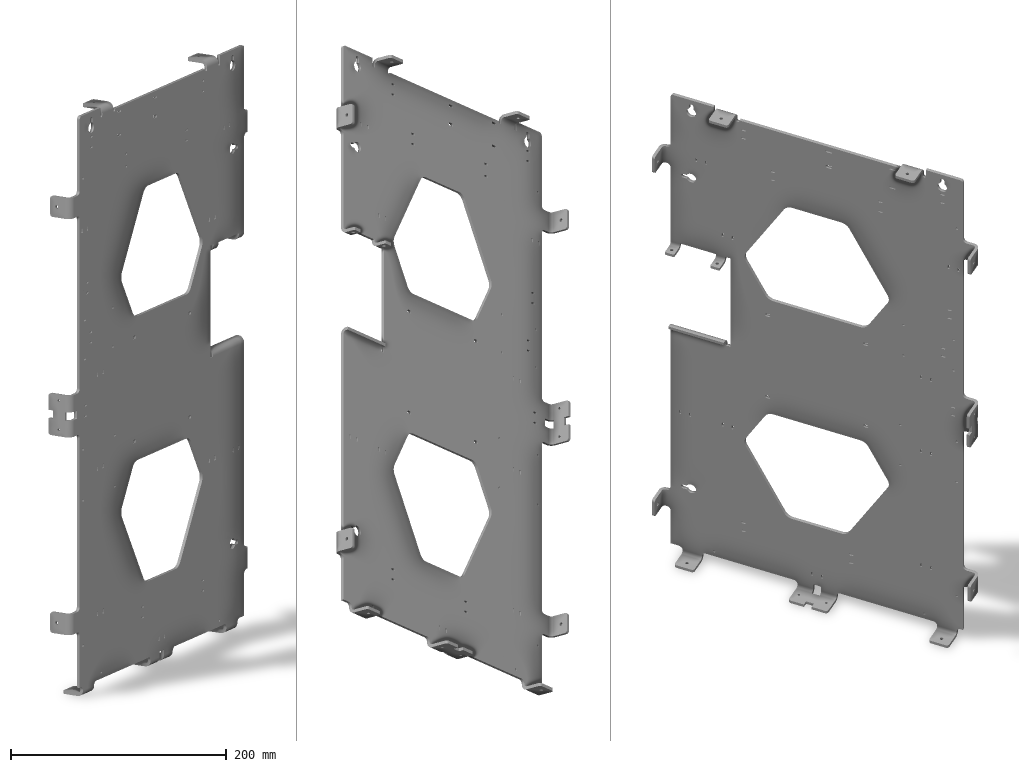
import cadquery as cq
import math


THICKNESS = 3.0
INNER_BEND = 3.0
OUTER_BEND = INNER_BEND + THICKNESS
WIDE_TAB_DEPTH = 23.79
TAB_DEPTH = 22.0

SIDE_EDGE = 149.0
TOP_EDGE = 285.0
TOP_STEP_EDGE = 278.0
BOTTOM_EDGE = -264.0
TOP_CORNER_RADIUS = 3.0

TOTAL_WIDTH = 325.0
TOTAL_HEIGHT = 559.0
LEFT_REACH = 159.5
RIGHT_REACH = TOTAL_WIDTH - LEFT_REACH
TOP_REACH = TOP_EDGE
BOTTOM_REACH = TOTAL_HEIGHT - TOP_REACH

TAB_WIDTH = 20.0
TAB_HOLE = 3.24
TAB_HOLE_FROM_TIP = 7.0
TAB_CORNER_RADIUS = 2.5
TAB_ROOT_RADIUS = 4.0
LEFT_TAB_Z = 209.85
RIGHT_TAB_Z = 200.0
TOP_TAB_OFFSET = 95.0
BOTTOM_TAB_OFFSET = 129.8
TAB_CENTER_Y = (LEFT_REACH - RIGHT_REACH) / 2
TOP_TAB_YS = (TAB_CENTER_Y + TOP_TAB_OFFSET, TAB_CENTER_Y - TOP_TAB_OFFSET)
BOTTOM_TAB_YS = (TAB_CENTER_Y + BOTTOM_TAB_OFFSET, TAB_CENTER_Y - BOTTOM_TAB_OFFSET)

WIDE_TAB_WIDTH = 40.0
WIDE_TAB_HOLE = 2.5
WIDE_TAB_HOLE_FROM_TIP = 10.8
WIDE_TAB_HOLE_SPACING = 28.0
TIP_NOTCH_WIDTH = 8.0
TIP_NOTCH_DEPTH = 5.0
BEND_HOLE_WIDTH = 8.0
BEND_HOLE_HEIGHT = 11.5
BEND_HOLE_CORNER_RADIUS = 1.0
BOTTOM_WIDE_TAB_Y = -0.4
RIGHT_WIDE_TAB_Z = 0.0

RELIEF_WIDTH = 3.24
RELIEF_BOTTOM = 275.5

CUTOUT_INNER = 88.0
CUTOUT_TOP = 106.0
CUTOUT_BOTTOM = -2.0
LIP_INNER = 92.5
LIP_REACH = 5.0
LIP_DEPTH = 8.0
CLIP_WIDTH = 9.5
CLIP_REACH = 99.1
CLIP_DEPTH = 16.0
CLIP_YS = (SIDE_EDGE - CLIP_WIDTH / 2, 98.0)
CLIP_HOLE_FROM_TIP = 5.5
CLIP_HOLE = 3.24
CLIP_CORNER_RADIUS = 1.0

HEX_Z = 113.0
HEX_HALF_WIDTH = 75.1
HEX_OUTER_RISE = 77.2
HEX_INNER_RISE = 43.8
HEX_CORNER_RADIUS = 10.0

KEYHOLE_DIAMETER = 10.0
KEYHOLE_NECK = 4.5
KEYHOLE_SHIFT = 8.0
KEYHOLE_Y = 128.0
TOP_KEYHOLE_Z = 269.7
SIDE_KEYHOLE_Z = 190.0

TIE_SLOT_LENGTH = 4.5
TIE_SLOT_WIDTH = 2.0
TIE = 10.0
WIDE_TIE = 12.0
STACKED_TIE_PAIRS = (
    (74.5, 262.6, TIE),
    (44.6, 222.3, TIE),
    (-65.0, 223.7, WIDE_TIE),
    (-128.2, 256.0, TIE),
    (-135.5, 117.5, TIE),
    (-129.0, 68.5, TIE),
    (-139.0, 0.0, TIE),
    (74.5, -217.5, TIE),
    (-35.2, -217.5, TIE),
)
SIDE_BY_SIDE_TIE_PAIRS = (
    (117.8, 214.0, TIE),
    (90.9, 131.6, TIE),
    (-139.5, 174.6, TIE),
    (-111.5, 30.0, TIE),
    (-111.5, -60.5, TIE),
    (134.2, -100.0, TIE),
    (90.9, -100.0, TIE),
    (-111.5, -200.0, TIE),
    (-0.3, -250.0, TIE),
)

SQUARE_SPACING = 100.0
SQUARE_SLOT_LENGTH = 5.5
SQUARE_SLOT_WIDTH = 3.24

LONG_SLOT_LENGTH = 6.5
NARROW_LONG_SLOT = 2.0
BROAD_LONG_SLOT = 3.24
LONG_SLOTS = (
    (-77.3, 273.7, NARROW_LONG_SLOT),
    (-77.3, 250.9, NARROW_LONG_SLOT),
    (-12.4, 271.9, NARROW_LONG_SLOT),
    (-12.4, 253.5, BROAD_LONG_SLOT),
)

SMALL_HOLE = 2.5
SMALL_HOLES = (
    (-143.0, 224.6),
    (-143.0, -224.6),
    (104.5, -258.0),
    (-109.8, -258.0),
    (-88.7, 87.5),
    (-139.7, 87.5),
    (-88.7, 50.0),
    (-139.7, 50.0),
    (-85.3, -36.0),
    (-143.0, -36.0),
    (-85.3, -85.0),
    (-143.0, -85.0),
)

TOP = 0
LEFT = -90
BOTTOM = 180
RIGHT = 90


def plate_block(y_min, y_max, z_min, z_max):
    """Flat rectangle of sheet."""
    block = cq.Workplane("XY").box(THICKNESS, y_max - y_min, z_max - z_min, centered=False)
    return block.translate((-THICKNESS, y_min, z_min))


def cutter(sketch):
    """Punch through the sheet from a closed YZ sketch."""
    return sketch.extrude(THICKNESS, both=True)


def yz_plane(y, z):
    return cq.Workplane("YZ").center(y, z)


def to_edge(shape, edge):
    """Turn a shape made for the +Z edge onto another edge."""
    return shape.rotate((0, 0, 0), (1, 0, 0), edge)


def along_edge(y, z, edge):
    """Position along an edge, in the frame of a flange made for the +Z edge."""
    return {TOP: y, BOTTOM: -y, LEFT: -z, RIGHT: z}[edge]


def bent_flange(center, width, root, reach, depth):
    """L-shaped strip: from inside the plate past the root, round the bend and out to -X."""
    start = root - THICKNESS
    inner_face = reach - THICKNESS
    bend_start = reach - OUTER_BEND
    diagonal = math.sqrt(0.5)
    outer_mid = (-OUTER_BEND + OUTER_BEND * diagonal, bend_start + OUTER_BEND * diagonal)
    inner_mid = (-OUTER_BEND + INNER_BEND * diagonal, bend_start + INNER_BEND * diagonal)
    section = (
        cq.Workplane("XZ", origin=(0, center + width / 2, 0))
        .moveTo(0, start)
        .lineTo(0, bend_start)
        .threePointArc(outer_mid, (-OUTER_BEND, reach))
        .lineTo(-depth, reach)
        .lineTo(-depth, inner_face)
        .lineTo(-OUTER_BEND, inner_face)
        .threePointArc(inner_mid, (-THICKNESS, bend_start))
        .lineTo(-THICKNESS, start)
        .close()
    )
    return section.extrude(width)


def round_tip(flange, radius):
    return flange.faces("<X").edges("|Z").fillet(radius)


def drill_flange(flange, x, y, reach, diameter):
    drill = cq.Workplane("XY", origin=(x, y, reach - 2 * THICKNESS)).circle(diameter / 2)
    return flange.cut(drill.extrude(3 * THICKNESS))


def root_fillet(y, z, direction):
    """Fill the corner between a plate edge at height z and a tab side at y."""
    r = TAB_ROOT_RADIUS
    far = y + direction * r
    block = plate_block(min(y, far), max(y, far), z, z + r)
    return block.cut(cutter(yz_plane(far, z + r).circle(r)))


def tab_roots(center, width, root):
    half = width / 2
    return root_fillet(center - half, root, -1).union(root_fillet(center + half, root, 1))


def mounting_tab(center, root, reach):
    tab = bent_flange(center, TAB_WIDTH, root, reach, TAB_DEPTH)
    tab = round_tip(tab, TAB_CORNER_RADIUS)
    return drill_flange(tab, TAB_HOLE_FROM_TIP - TAB_DEPTH, center, reach, TAB_HOLE)


def wide_tab(center, root, reach):
    tab = bent_flange(center, WIDE_TAB_WIDTH, root, reach, WIDE_TAB_DEPTH)
    tab = round_tip(tab, TAB_CORNER_RADIUS)
    notch = cq.Workplane("XY").box(2 * TIP_NOTCH_DEPTH, TIP_NOTCH_WIDTH, 3 * THICKNESS)
    tab = tab.cut(notch.translate((-WIDE_TAB_DEPTH, center, reach)))
    for side in (-1, 1):
        y = center + side * WIDE_TAB_HOLE_SPACING / 2
        tab = drill_flange(tab, WIDE_TAB_HOLE_FROM_TIP - WIDE_TAB_DEPTH, y, reach, WIDE_TAB_HOLE)
    return tab


def bend_hole(center, reach):
    """Clearance hole through the sheet and the whole bend, up to the flat of the tab."""
    hole = cq.Workplane("XY").box(
        OUTER_BEND, BEND_HOLE_WIDTH, BEND_HOLE_HEIGHT, centered=(False, True, False)
    )
    hole = hole.edges("|X and <Z").fillet(BEND_HOLE_CORNER_RADIUS)
    return hole.translate((-OUTER_BEND, center, reach - BEND_HOLE_HEIGHT))


def flat_plate():
    plate = plate_block(-SIDE_EDGE, SIDE_EDGE, BOTTOM_EDGE, TOP_EDGE)
    plate = plate.edges("|X and >Z").fillet(TOP_CORNER_RADIUS)
    plate = plate.cut(plate_block(CUTOUT_INNER, SIDE_EDGE, CUTOUT_BOTTOM, CUTOUT_TOP))
    half = TAB_WIDTH / 2
    step_left = TOP_TAB_YS[0] + half + RELIEF_WIDTH
    step_right = TOP_TAB_YS[1] - half - RELIEF_WIDTH
    plate = plate.cut(plate_block(step_right, step_left, TOP_STEP_EDGE, TOP_EDGE))
    radius = RELIEF_WIDTH / 2
    for tab_y in TOP_TAB_YS:
        for side in (-1, 1):
            y = tab_y + side * (half + radius)
            plate = plate.cut(plate_block(y - radius, y + radius, RELIEF_BOTTOM + radius, TOP_EDGE))
            plate = plate.cut(cutter(yz_plane(y, RELIEF_BOTTOM + radius).circle(radius)))
    return plate


def add_tabs(plate):
    for y in TOP_TAB_YS:
        plate = plate.union(mounting_tab(y, RELIEF_BOTTOM, TOP_REACH))
    places = [(y, BOTTOM_EDGE, BOTTOM, -BOTTOM_EDGE, BOTTOM_REACH) for y in BOTTOM_TAB_YS]
    for side in (-1, 1):
        places.append((SIDE_EDGE, side * LEFT_TAB_Z, LEFT, SIDE_EDGE, LEFT_REACH))
        places.append((-SIDE_EDGE, side * RIGHT_TAB_Z, RIGHT, SIDE_EDGE, RIGHT_REACH))
    for y, z, edge, root, reach in places:
        center = along_edge(y, z, edge)
        plate = plate.union(to_edge(mounting_tab(center, root, reach), edge))
        plate = plate.union(to_edge(tab_roots(center, TAB_WIDTH, root), edge))
    return plate


def add_wide_tabs(plate):
    places = (
        (along_edge(BOTTOM_WIDE_TAB_Y, BOTTOM_EDGE, BOTTOM), BOTTOM, -BOTTOM_EDGE, BOTTOM_REACH),
        (along_edge(-SIDE_EDGE, RIGHT_WIDE_TAB_Z, RIGHT), RIGHT, SIDE_EDGE, RIGHT_REACH),
    )
    for center, edge, root, reach in places:
        plate = plate.union(to_edge(wide_tab(center, root, reach), edge))
        plate = plate.union(to_edge(tab_roots(center, WIDE_TAB_WIDTH, root), edge))
        plate = plate.cut(to_edge(bend_hole(center, reach), edge))
    return plate


def add_cutout_flanges(plate):
    lip_width = SIDE_EDGE - LIP_INNER
    lip_center = (SIDE_EDGE + LIP_INNER) / 2
    plate = plate.union(bent_flange(lip_center, lip_width, CUTOUT_BOTTOM, LIP_REACH, LIP_DEPTH))
    for y in CLIP_YS:
        clip = bent_flange(-y, CLIP_WIDTH, -CUTOUT_TOP, -CLIP_REACH, CLIP_DEPTH)
        clip = round_tip(clip, CLIP_CORNER_RADIUS)
        clip = drill_flange(clip, CLIP_HOLE_FROM_TIP - CLIP_DEPTH, -y, -CLIP_REACH, CLIP_HOLE)
        plate = plate.union(to_edge(clip, BOTTOM))
    return plate


def hexagon(side):
    """Opening with 60 degree flanks, longer on the side away from Z = 0."""
    outer_half = HEX_HALF_WIDTH - HEX_OUTER_RISE / math.tan(math.radians(60))
    inner_half = HEX_HALF_WIDTH - HEX_INNER_RISE / math.tan(math.radians(60))
    outer_z = side * (HEX_Z + HEX_OUTER_RISE)
    inner_z = side * (HEX_Z - HEX_INNER_RISE)
    sketch = cq.Workplane("YZ").polyline([
        (-HEX_HALF_WIDTH, side * HEX_Z),
        (-outer_half, outer_z),
        (outer_half, outer_z),
        (HEX_HALF_WIDTH, side * HEX_Z),
        (inner_half, inner_z),
        (-inner_half, inner_z),
    ]).close()
    return cutter(sketch).edges("|X").fillet(HEX_CORNER_RADIUS)


def slot(y, z, length, width, angle=0):
    return cutter(yz_plane(y, z).slot2D(length, width, angle))


def keyhole(y, z, angle):
    """Round entry hole with a neck leading away at the given angle from +Y."""
    entry = cutter(yz_plane(y, z).circle(KEYHOLE_DIAMETER / 2))
    mid_y = y + KEYHOLE_SHIFT / 2 * math.cos(math.radians(angle))
    mid_z = z + KEYHOLE_SHIFT / 2 * math.sin(math.radians(angle))
    return entry.union(slot(mid_y, mid_z, KEYHOLE_SHIFT + KEYHOLE_NECK, KEYHOLE_NECK, angle))


def plate_openings():
    openings = []
    for side in (-1, 1):
        openings.append(hexagon(side))
        openings.append(keyhole(side * KEYHOLE_Y, TOP_KEYHOLE_Z, 90))
        openings.append(keyhole(KEYHOLE_Y, side * SIDE_KEYHOLE_Z, 0))
        for other in (-1, 1):
            y = side * SQUARE_SPACING / 2
            z = other * SQUARE_SPACING / 2
            openings.append(slot(y, z, SQUARE_SLOT_LENGTH, SQUARE_SLOT_WIDTH))
        for y, z, spacing in STACKED_TIE_PAIRS:
            openings.append(slot(y, z + side * spacing / 2, TIE_SLOT_LENGTH, TIE_SLOT_WIDTH))
        for y, z, spacing in SIDE_BY_SIDE_TIE_PAIRS:
            openings.append(slot(y + side * spacing / 2, z, TIE_SLOT_LENGTH, TIE_SLOT_WIDTH, 90))
    for y, z, width in LONG_SLOTS:
        openings.append(slot(y, z, LONG_SLOT_LENGTH, width))
    for y, z in SMALL_HOLES:
        openings.append(cutter(yz_plane(y, z).circle(SMALL_HOLE / 2)))
    return openings


def build():
    plate = flat_plate()
    plate = add_tabs(plate)
    plate = add_wide_tabs(plate)
    plate = add_cutout_flanges(plate)
    for opening in plate_openings():
        plate = plate.cut(opening)
    return plate


result = build()